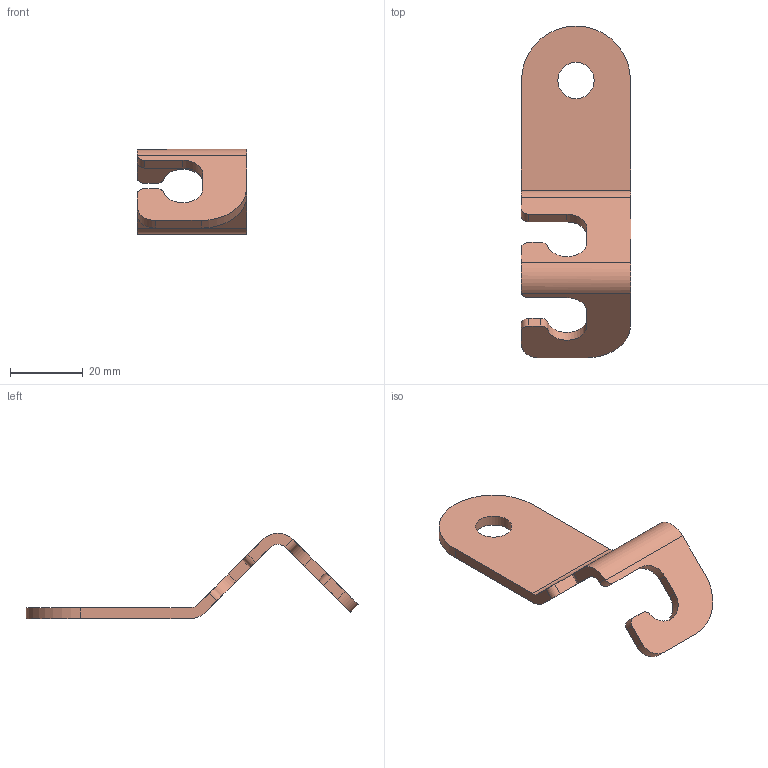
import cadquery as cq
import math

width = 30.0
thickness = 3.0
bend_angle = math.radians(45)
inner_bend_radius = 3.0
outer_bend_radius = inner_bend_radius + thickness
leg_length = 25.15
flat_length = 30.13

hole_diameter = 10.0
tip_mouth_side_radius = 5.0
tip_back_side_radius = 12.5

slot_width = 11.0
slot_radius = slot_width / 2
slot_centre_depth = 12.5
lip_radius = 2.0
slot_overcut = 0.5
rising_slot_offset = 6.4
falling_slot_offset = 1.75

half_width = width / 2
sin_bend = math.sin(bend_angle)
cos_bend = math.cos(bend_angle)


def bend_point(centre, radius, angle):
    """Point (y, z) on a bend, with the angle measured from +Z towards -Y."""
    return (centre[0] - radius * math.sin(angle), centre[1] + radius * math.cos(angle))


def along(point, direction, distance):
    """Point (y, z) at a distance from another along a unit direction."""
    return (point[0] + direction[0] * distance, point[1] + direction[1] * distance)


rising = (-cos_bend, sin_bend)
falling = (-cos_bend, -sin_bend)
outward_of_rising = (sin_bend, cos_bend)
outward_of_falling = (-sin_bend, cos_bend)

foot_centre = (-flat_length, thickness + inner_bend_radius)
foot_start = math.pi
foot_middle = math.pi - bend_angle / 2
foot_end = math.pi - bend_angle

rising_start = bend_point(foot_centre, inner_bend_radius, foot_end)
rising_end = along(rising_start, rising, leg_length)
crest_centre = along(rising_end, outward_of_rising, -outer_bend_radius)
falling_start = bend_point(crest_centre, outer_bend_radius, bend_angle)
tip_outer = along(falling_start, falling, leg_length)
tip_inner = along(tip_outer, outward_of_falling, -thickness)


def make_bent_strip():
    """Square-ended bent strip, from the hole centre to the leg tip."""
    profile = (
        cq.Workplane("YZ", origin=(-half_width, 0, 0))
        .moveTo(0, thickness)
        .lineTo(*bend_point(foot_centre, inner_bend_radius, foot_start))
        .threePointArc(bend_point(foot_centre, inner_bend_radius, foot_middle), rising_start)
        .lineTo(*rising_end)
        .threePointArc(bend_point(crest_centre, outer_bend_radius, 0), falling_start)
        .lineTo(*tip_outer)
        .lineTo(*tip_inner)
        .lineTo(*bend_point(crest_centre, inner_bend_radius, bend_angle))
        .threePointArc(
            bend_point(crest_centre, inner_bend_radius, 0),
            bend_point(crest_centre, inner_bend_radius, -bend_angle),
        )
        .lineTo(*bend_point(foot_centre, outer_bend_radius, foot_end))
        .threePointArc(
            bend_point(foot_centre, outer_bend_radius, foot_middle),
            bend_point(foot_centre, outer_bend_radius, foot_start),
        )
        .lineTo(0, 0)
        .close()
    )
    return profile.extrude(width)


def make_disc(radius):
    """Disc of strip thickness on the hole axis, for the rounded end and the hole."""
    return cq.Workplane("XY").circle(radius).extrude(thickness)


def round_tip_corner(body, x, radius):
    """Round the tip corner on the side face at x."""
    corner = (x, (tip_outer[0] + tip_inner[0]) / 2, (tip_outer[1] + tip_inner[1]) / 2)
    return body.edges(cq.selectors.NearestToPointSelector(corner)).fillet(radius)


def make_slot(leg_start, direction, offset):
    """Slot cutter: local x runs in from the -X edge, local y runs along the leg."""
    start = along(leg_start, direction, offset)
    outer_face = cq.Plane(
        origin=(-half_width, start[0], start[1]),
        xDir=(1, 0, 0),
        normal=(0, -direction[1], direction[0]),
    )
    diagonal = math.sqrt(0.5)
    mouth_inset = lip_radius * (1 - diagonal)
    pocket_inset = slot_radius * (1 - diagonal)
    depth = slot_centre_depth
    lip_angle = math.asin(lip_radius / (slot_radius + lip_radius))
    lip_x = depth - (slot_radius + lip_radius) * math.cos(lip_angle)
    lip_centre_y = slot_width + lip_radius
    half_turn = (math.pi / 2 - lip_angle) / 2
    lip_middle = (lip_x + lip_radius * math.sin(half_turn), lip_centre_y - lip_radius * math.cos(half_turn))
    pocket_left = (
        depth - slot_radius * math.cos(lip_angle),
        slot_width + slot_radius * math.sin(lip_angle),
    )
    return (
        cq.Workplane(outer_face)
        .moveTo(0, -lip_radius)
        .threePointArc((mouth_inset, -mouth_inset), (lip_radius, 0))
        .lineTo(depth, 0)
        .threePointArc((depth + slot_radius * diagonal, pocket_inset), (depth + slot_radius, slot_radius))
        .lineTo(depth + slot_radius, slot_width)
        .threePointArc((depth, slot_width + slot_radius), pocket_left)
        .threePointArc(lip_middle, (lip_x, slot_width))
        .lineTo(lip_radius, slot_width)
        .threePointArc((mouth_inset, slot_width + mouth_inset), (0, slot_width + lip_radius))
        .close()
        .extrude(thickness + slot_overcut)
    )


bracket = make_bent_strip()
bracket = round_tip_corner(bracket, -half_width, tip_mouth_side_radius)
bracket = round_tip_corner(bracket, half_width, tip_back_side_radius)
bracket = bracket.union(make_disc(half_width))
bracket = bracket.cut(make_disc(hole_diameter / 2))
bracket = bracket.cut(make_slot(rising_start, rising, rising_slot_offset))
result = bracket.cut(make_slot(falling_start, falling, falling_slot_offset))